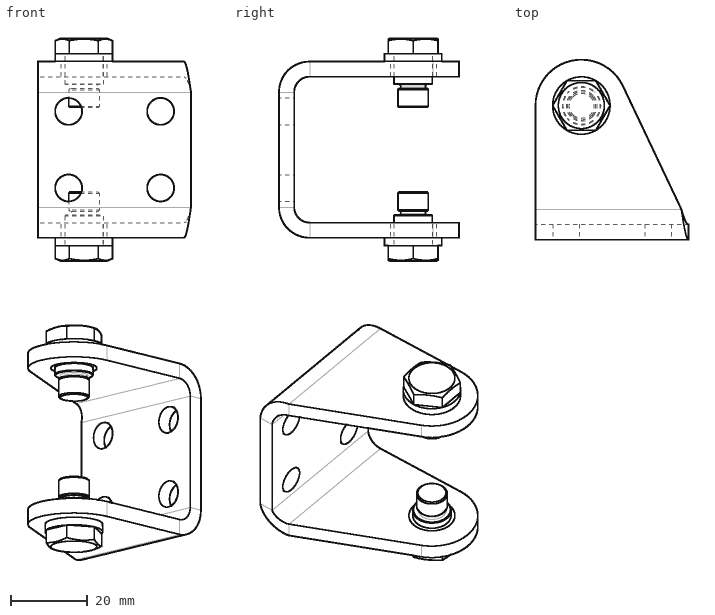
import cadquery as cq
import math

TOTAL_HEIGHT = 58.1
WIDTH = 40.0
DEPTH = 47.0
BRACKET_HEIGHT = 46.0

SHEET = 4.0
BEND_INNER_RADIUS = 4.0
BEND_RADIUS = BEND_INNER_RADIUS + SHEET
EAR_RADIUS = 12.0
PIVOT_X = EAR_RADIUS
PIVOT_Y = DEPTH - EAR_RADIUS
BEND_Z = BRACKET_HEIGHT / 2 - BEND_RADIUS

MOUNT_HOLE_DIAMETER = 7.0
MOUNT_HOLE_FIRST_X = 8.0
MOUNT_PITCH_X = 24.0
MOUNT_PITCH_Z = 20.0

BUSHING_DIAMETER = 12.0
FLANGE_DIAMETER = 15.0
FLANGE_THICKNESS = 2.05

HEAD_HEIGHT = (TOTAL_HEIGHT - BRACKET_HEIGHT) / 2 - FLANGE_THICKNESS
HEAD_CORNER_DIAMETER = 15.0
HEAD_TOP_DIAMETER = 12.0
HEAD_CHAMFER_HEIGHT = 0.65
SHOULDER_DIAMETER = 10.0
SHOULDER_PROJECTION = 2.0
SHOULDER_CHAMFER = 0.2
GROOVE_DIAMETER = 6.5
GROOVE_WIDTH = 1.0
GROOVE_FILLET = 0.4
PIN_DIAMETER = 8.0
PIN_LENGTH = 5.0
PIN_CHAMFER = 0.35

aim_x = WIDTH - PIVOT_X
aim_y = SHEET - PIVOT_Y
slope_angle = math.atan2(aim_y, aim_x) - math.asin(EAR_RADIUS / math.hypot(aim_x, aim_y))
tangent_x = PIVOT_X - EAR_RADIUS * math.sin(slope_angle)
tangent_y = PIVOT_Y + EAR_RADIUS * math.cos(slope_angle)
bend_end_x = WIDTH + (BEND_RADIUS - SHEET) / math.tan(slope_angle)


def make_ear():
    """Upper ear: a flat plate with one round end and one sloped edge."""
    return (
        cq.Workplane("XY", origin=(0, 0, BRACKET_HEIGHT / 2 - SHEET))
        .moveTo(0, BEND_RADIUS)
        .lineTo(bend_end_x, BEND_RADIUS)
        .lineTo(tangent_x, tangent_y)
        .threePointArc((PIVOT_X, DEPTH), (0, PIVOT_Y))
        .close()
        .extrude(SHEET)
        .faces(">Z").workplane(origin=(PIVOT_X, PIVOT_Y, 0))
        .hole(BUSHING_DIAMETER)
    )


def make_bend():
    """Upper bend: a quarter ring whose end runs helically from the ear's edge to the web's edge."""
    diagonal = math.sqrt(0.5)
    ring = (
        cq.Workplane("YZ", origin=(0, BEND_RADIUS, BEND_Z))
        .moveTo(0, BEND_RADIUS)
        .threePointArc((-BEND_RADIUS * diagonal, BEND_RADIUS * diagonal), (-BEND_RADIUS, 0))
        .lineTo(-BEND_INNER_RADIUS, 0)
        .threePointArc((-BEND_INNER_RADIUS * diagonal, BEND_INNER_RADIUS * diagonal), (0, BEND_INNER_RADIUS))
        .close()
        .extrude(WIDTH)
    )
    cutter_side = 2 * BEND_RADIUS
    cutter = (
        cq.Workplane("YZ", origin=(bend_end_x, BEND_RADIUS, BEND_Z))
        .rect(cutter_side, cutter_side, centered=False)
        .twistExtrude(WIDTH - bend_end_x, 90)
    )
    return ring.cut(cutter)


def make_bracket():
    """U-shaped bracket: a web with four holes, and a bend and an ear at each end."""
    web = cq.Workplane("XY").box(WIDTH, SHEET, 2 * BEND_Z, centered=(False, False, True))
    upper = make_ear().union(make_bend(), clean=False)
    lower = upper.mirror("XY")
    mount_holes = (
        cq.Workplane("XZ", origin=(MOUNT_HOLE_FIRST_X + MOUNT_PITCH_X / 2, 0, 0))
        .rarray(MOUNT_PITCH_X, MOUNT_PITCH_Z, 2, 2)
        .circle(MOUNT_HOLE_DIAMETER / 2)
        .extrude(-SHEET)
    )
    return web.union(upper, clean=False).union(lower, clean=False).cut(mount_holes, clean=False)


def make_bushing():
    """Upper bushing: its sleeve fills the ear's hole and its flange rests on the ear."""
    return (
        cq.Workplane("XY", origin=(PIVOT_X, PIVOT_Y, BRACKET_HEIGHT / 2 - SHEET))
        .circle(BUSHING_DIAMETER / 2)
        .extrude(SHEET)
        .faces(">Z").workplane()
        .circle(FLANGE_DIAMETER / 2)
        .extrude(FLANGE_THICKNESS)
        .faces(">Z").workplane()
        .hole(SHOULDER_DIAMETER)
    )


def make_bolt_head():
    """Hexagonal head, resting on z = 0, with its upper corners cut by a cone."""
    corner_radius = HEAD_CORNER_DIAMETER / 2
    hexagon = cq.Workplane("XY").polygon(6, HEAD_CORNER_DIAMETER).extrude(HEAD_HEIGHT)
    envelope = (
        cq.Workplane("XZ")
        .lineTo(corner_radius, 0)
        .lineTo(corner_radius, HEAD_HEIGHT - HEAD_CHAMFER_HEIGHT)
        .lineTo(HEAD_TOP_DIAMETER / 2, HEAD_HEIGHT)
        .lineTo(0, HEAD_HEIGHT)
        .close()
        .revolve(360, (0, 0), (0, 1))
    )
    return hexagon.intersect(envelope)


def make_bolt_shank():
    """Shoulder, groove with a fillet under the shoulder, and pin, hanging down from z = 0."""
    shoulder_radius = SHOULDER_DIAMETER / 2
    groove_radius = GROOVE_DIAMETER / 2
    pin_radius = PIN_DIAMETER / 2
    shoulder_end = -(FLANGE_THICKNESS + SHEET + SHOULDER_PROJECTION)
    pin_start = shoulder_end - GROOVE_WIDTH
    pin_end = pin_start - PIN_LENGTH
    fillet_rise = GROOVE_FILLET * (1 - math.sqrt(0.5))
    return (
        cq.Workplane("XZ")
        .lineTo(shoulder_radius, 0)
        .lineTo(shoulder_radius, shoulder_end + SHOULDER_CHAMFER)
        .lineTo(shoulder_radius - SHOULDER_CHAMFER, shoulder_end)
        .lineTo(groove_radius + GROOVE_FILLET, shoulder_end)
        .threePointArc(
            (groove_radius + fillet_rise, shoulder_end - fillet_rise),
            (groove_radius, shoulder_end - GROOVE_FILLET),
        )
        .lineTo(groove_radius, pin_start)
        .lineTo(pin_radius - PIN_CHAMFER, pin_start)
        .lineTo(pin_radius, pin_start - PIN_CHAMFER)
        .lineTo(pin_radius, pin_end + PIN_CHAMFER)
        .lineTo(pin_radius - PIN_CHAMFER, pin_end)
        .lineTo(0, pin_end)
        .close()
        .revolve(360, (0, 0), (0, 1))
    )


def make_bolt():
    """Upper shoulder bolt, with its head resting on the bushing's flange."""
    head_seat_z = BRACKET_HEIGHT / 2 + FLANGE_THICKNESS
    return make_bolt_head().union(make_bolt_shank()).translate((PIVOT_X, PIVOT_Y, head_seat_z))


bodies = [make_bracket().val()]
for upper_body in (make_bushing(), make_bolt()):
    lower_body = upper_body.mirror("XY")
    bodies += [upper_body.val(), lower_body.val()]

result = cq.Compound.makeCompound(bodies)